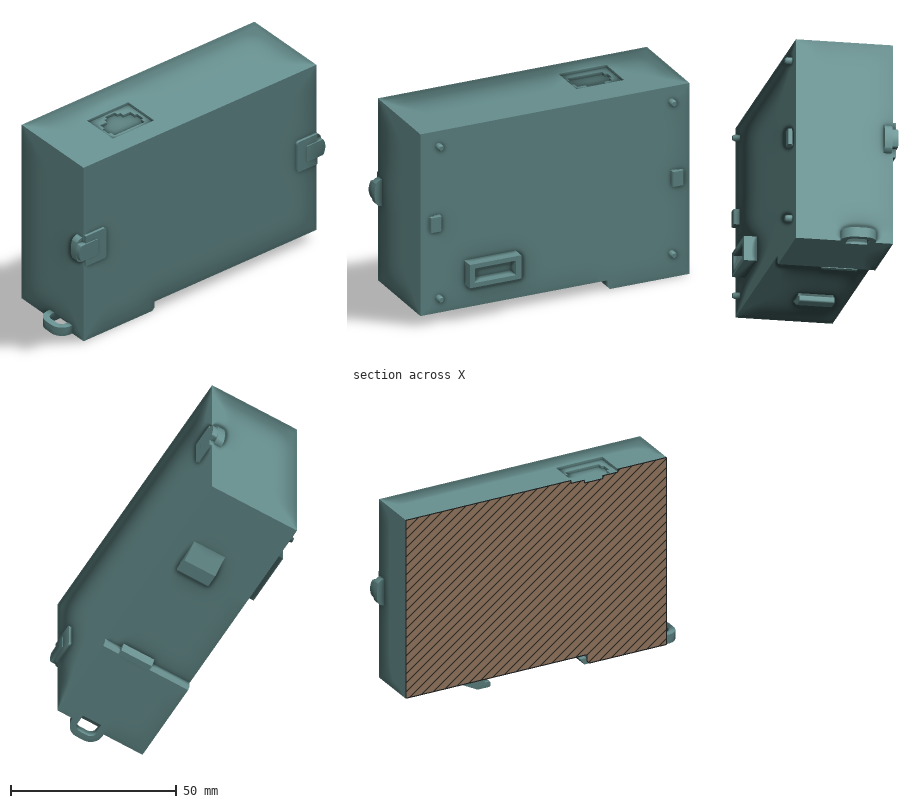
import cadquery as cq

BODY_X = 30.0
BODY_Y = 90.0
BODY_Z = 60.0
MID_Y = BODY_Y / 2
MID_Z = BODY_Z / 2

FOOT_DROP = 3.0
FOOT_LENGTH = 27.5
FOOT_CHAMFER = 0.9

SLIDER_X0 = 13.7
SLIDER_X1 = 24.55
SLIDER_DROP = 3.2
LIP_DROP = 1.2
LIP_TIP_DROP = 1.4
LIP_TIP_Y = 29.5
LIP_BASE_Y = 28.2
LIP_ROOT_Y = 26.4
LOOP_REACH = 4.9
LOOP_WALL = 2.0
LOOP_RADIUS = 4.1
LOOP_UNDERCUT = 2.4

HOOK_RAMP_Y = 70.7
HOOK_BASE_Y = 65.0
HOOK_NECK_Y = 62.4
HOOK_TIP_Y = 60.6
HOOK_TIP_RADIUS = 0.5

PEG_DIAMETER = 2.0
PEG_LENGTH = 2.1
PEG_TIP_LENGTH = 0.7
PEG_TIP_INSET = 0.3
PEG_INSET_Y = 6.0
PEG_INSET_Z = 5.0

SNAP_HEIGHT = 4.9
SNAP_REACH = 1.85
SNAP_GAP = 0.6
SNAP_TIP_Y = 2.7
SNAP_NECK_Y = 4.4
SNAP_BACK_Y = 6.3
SNAP_CHAMFER = 0.3

CONNECTOR_REACH = 4.0
CONNECTOR_Y0 = 58.2
CONNECTOR_Y1 = 75.4
CONNECTOR_Z0 = 8.0
CONNECTOR_Z1 = 15.7
CONNECTOR_WALL_Y = 1.8
CONNECTOR_WALL_Z = 1.5

SOCKET_X0 = 10.5
SOCKET_X1 = 23.1
SOCKET_Y0 = 16.9
SOCKET_Y1 = 32.8
SOCKET_DEPTH = 1.0
OPENING_DEPTH = 1.0
OPENING_MID_Y = 25.1
OPENING_STEPS = (
    (11.2, 12.4, 1.9),
    (12.4, 13.8, 3.1),
    (13.8, 20.8, 5.8),
    (16.0, 19.1, 6.7),
)

CAP_REACH = 2.5
CAP_HALF_HEIGHT = 4.4
CAP_SHOULDER_Y = 2.0
CAP_SHOULDER_Z = 3.2
CAP_CORNER_BULGE = 0.3
CAP_X0 = 27.0
CAP_X1 = 29.4
ARM_OUTSTAND = 1.2
ARM_HALF_HEIGHT = 2.8
ARM_LENGTH = 4.6
ARM_REACH = 2.5
ARM_SIDE_REACH = 1.8
ARM_RADIUS = 0.6
PLATE_THICKNESS = 0.9
PLATE_START_Y = 0.2
PLATE_END_Y = 8.1
PLATE_HEIGHT = 10.9
PLATE_RADIUS = 0.9


def block(x0, x1, y0, y1, z0, z1):
    """Box between two opposite corners."""
    return cq.Workplane("XY").box(x1 - x0, y1 - y0, z1 - z0, centered=False).translate((x0, y0, z0))


def at_both_ends(shape):
    """The shape together with its mirror image about the middle of the length."""
    return shape.union(shape.mirror("XZ", (0, MID_Y, 0)))


def extrude_x(outline, x0, x1):
    """Prism along X from a list of (y, z) points."""
    return cq.Workplane("YZ").workplane(offset=x0).polyline(outline).close().extrude(x1 - x0)


def housing():
    foot = block(0, BODY_X, 0, FOOT_LENGTH, -FOOT_DROP, 0)
    foot = foot.edges("|X and >Y and <Z").chamfer(FOOT_CHAMFER)
    return block(0, BODY_X, 0, BODY_Y, 0, BODY_Z).union(foot)


def slider_hook():
    outline = [
        (LIP_ROOT_Y, -LIP_DROP),
        (LIP_TIP_Y, -LIP_DROP),
        (LIP_TIP_Y, -LIP_TIP_DROP),
        (LIP_BASE_Y, -SLIDER_DROP),
        (LIP_ROOT_Y, -SLIDER_DROP),
    ]
    return extrude_x(outline, SLIDER_X0, SLIDER_X1)


def loop_tongue(inset):
    """Slab rounded at its free end, shrunk by the inset on its three free sides."""
    slab = block(SLIDER_X0 + inset, SLIDER_X1 - inset, inset - LOOP_REACH, 0, -FOOT_DROP, 0)
    return slab.edges("|Z and <Y").fillet(LOOP_RADIUS - inset)


def loop_opening():
    """Finger opening of the pull loop, running on a little way into the foot."""
    undercut = block(SLIDER_X0 + LOOP_WALL, SLIDER_X1 - LOOP_WALL, 0, LOOP_UNDERCUT, -FOOT_DROP, 0)
    return loop_tongue(LOOP_WALL).union(undercut)


def fixed_hook():
    outline = [
        (HOOK_RAMP_Y, 0),
        (HOOK_BASE_Y, -FOOT_DROP),
        (HOOK_TIP_Y, -FOOT_DROP),
        (HOOK_TIP_Y, -LIP_DROP),
        (HOOK_NECK_Y, -LIP_DROP),
        (HOOK_NECK_Y, 0),
    ]
    return extrude_x(outline, SLIDER_X0, SLIDER_X1).edges("|X and <Y").fillet(HOOK_TIP_RADIUS)


def pegs():
    centres = [(PEG_INSET_Y, z) for z in (PEG_INSET_Z, BODY_Z - PEG_INSET_Z)]
    pair = cq.Workplane("YZ").pushPoints(centres).circle(PEG_DIAMETER / 2).extrude(-PEG_LENGTH)
    pair = pair.faces("<X").chamfer(PEG_TIP_LENGTH, PEG_TIP_INSET)
    return at_both_ends(pair)


def snap_hooks():
    outline = [
        (0, SNAP_BACK_Y),
        (-SNAP_REACH, SNAP_BACK_Y),
        (-SNAP_REACH, SNAP_TIP_Y),
        (-SNAP_GAP, SNAP_TIP_Y),
        (-SNAP_GAP, SNAP_NECK_Y),
        (0, SNAP_NECK_Y),
    ]
    base = cq.Workplane("XY").workplane(offset=MID_Z - SNAP_HEIGHT / 2)
    hook = base.polyline(outline).close().extrude(SNAP_HEIGHT)
    hook = hook.edges("|Z and <X").chamfer(SNAP_CHAMFER)
    return at_both_ends(hook)


def connector():
    shroud = block(-CONNECTOR_REACH, 0, CONNECTOR_Y0, CONNECTOR_Y1, CONNECTOR_Z0, CONNECTOR_Z1)
    cavity = block(
        -CONNECTOR_REACH,
        0,
        CONNECTOR_Y0 + CONNECTOR_WALL_Y,
        CONNECTOR_Y1 - CONNECTOR_WALL_Y,
        CONNECTOR_Z0 + CONNECTOR_WALL_Z,
        CONNECTOR_Z1 - CONNECTOR_WALL_Z,
    )
    return shroud.cut(cavity)


def socket():
    recess_floor = BODY_Z - SOCKET_DEPTH
    cavity = block(SOCKET_X0, SOCKET_X1, SOCKET_Y0, SOCKET_Y1, recess_floor, BODY_Z)
    for x0, x1, half in OPENING_STEPS:
        y0 = OPENING_MID_Y - half
        y1 = OPENING_MID_Y + half
        cavity = cavity.union(block(x0, x1, y0, y1, recess_floor - OPENING_DEPTH, recess_floor))
    return cavity


def clip_cap():
    """Domed thumb piece standing off the end face at Y = 0."""
    return (
        cq.Workplane("YZ")
        .workplane(offset=CAP_X0)
        .moveTo(0, MID_Z + CAP_HALF_HEIGHT)
        .sagittaArc((-CAP_SHOULDER_Y, MID_Z + CAP_SHOULDER_Z), -CAP_CORNER_BULGE)
        .threePointArc((-CAP_REACH, MID_Z), (-CAP_SHOULDER_Y, MID_Z - CAP_SHOULDER_Z))
        .sagittaArc((0, MID_Z - CAP_HALF_HEIGHT), -CAP_CORNER_BULGE)
        .close()
        .extrude(CAP_X1 - CAP_X0)
    )


def clip_arm():
    """Flat-sided arm along the +X edge with a domed, round-cornered end beside the cap."""
    arm_x1 = BODY_X + ARM_OUTSTAND
    arm_z0 = MID_Z - ARM_HALF_HEIGHT
    arm_z1 = MID_Z + ARM_HALF_HEIGHT
    arm_end = (
        cq.Workplane("YZ")
        .workplane(offset=CAP_X1)
        .moveTo(0, arm_z1)
        .lineTo(-ARM_SIDE_REACH, arm_z1)
        .threePointArc((-ARM_REACH, MID_Z), (-ARM_SIDE_REACH, arm_z0))
        .lineTo(0, arm_z0)
        .close()
        .extrude(arm_x1 - CAP_X1)
        .edges("|X")
        .edges("<Y")
        .fillet(ARM_RADIUS)
    )
    return arm_end.union(block(BODY_X, arm_x1, 0, ARM_LENGTH, arm_z0, arm_z1))


def side_clips():
    plate = block(
        BODY_X,
        BODY_X + PLATE_THICKNESS,
        PLATE_START_Y,
        PLATE_END_Y,
        MID_Z - PLATE_HEIGHT / 2,
        MID_Z + PLATE_HEIGHT / 2,
    )
    plate = plate.edges("|X and >Y").fillet(PLATE_RADIUS)
    clip = clip_cap().union(clip_arm()).union(plate)
    return at_both_ends(clip)


result = housing()
added = (slider_hook(), loop_tongue(0), fixed_hook(), pegs(), snap_hooks(), connector(), side_clips())
for feature in added:
    result = result.union(feature)
for cavity in (loop_opening(), socket()):
    result = result.cut(cavity)